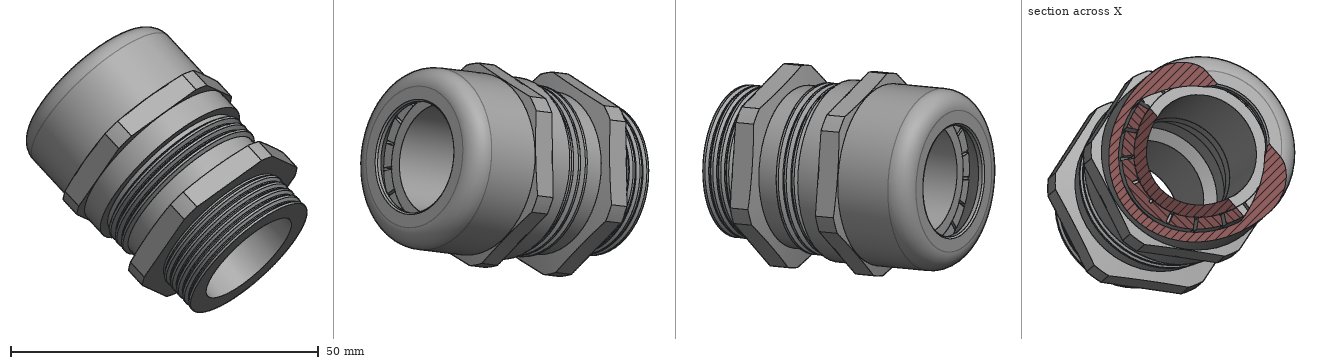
import cadquery as cq
import math

YAW = 22.0
PITCH = 18.0
ROLL = 8.2

NUT_OUTER_R = 14.9
NUT_NOSE_FILLET = 3.3
NUT_END = 20.6
NUT_LIP_END = 1.0
NUT_LIP_CHAMFER = 0.3
NUT_BORE_START = 5.55

BORE_R = 18.25 / 2

HEX_FLATS = 30.0
HEX_CORNER_R = 16.55
HEX_CHAMFER_ANGLE = 10.0
HEX_CORNER_LENGTH = 3.45
NUT_HEX_END = 16.7
HEX_SPACING = 16.4

CLAW_FRONT = 5.1
CLAW_HEAD_R = 12.9
CLAW_HEAD_END = 11.35
CLAW_STEM_R = 22.9 / 2
CLAW_BORE_R = 22.05 / 2
CLAW_END = 24.8
SLOT_COUNT = 18
SLOT_WIDTH = 0.47
SLOT_DEPTH = 4.75

SEAL_END = 19.2
SEAL_RELIEF_START = 17.35
SEAL_RELIEF_R = 18.3 / 2

NECK_R = 26.65 / 2
BODY_LENGTH_END = 40.35
BORE_TAPER_START = 28.05
BORE_TAPER_ANGLE = 30.0

THREAD_PITCH = 1.5
CREST_WIDTH = 0.45
RIDGE_FLANK_RUN = 0.45
CAP_THREAD_CREST_R = 28.05 / 2
CAP_THREAD_LAST_CREST_END = 25.3
CAP_THREAD_RIDGES = 3
MOUNT_THREAD_CREST_R = 12.45
MOUNT_THREAD_ROOT_R = 24.0 / 2
MOUNT_THREAD_RIDGES = 5


def revolve(profile):
    """Revolve a closed (radius, axial) profile about the gland axis."""
    return cq.Workplane("XZ").polyline(profile).close().revolve(360, (0, 0, 0), (0, 1, 0))


def cylinder(radius, start, end):
    return cq.Workplane("XY").workplane(offset=start).circle(radius).extrude(end - start)


def hexagon(end):
    """Wrench hexagon with rounded corners and a conical chamfer on its nose side."""
    slope = math.tan(math.radians(HEX_CHAMFER_ANGLE))
    corner_start = end - HEX_CORNER_LENGTH
    cone_tip = corner_start - HEX_CORNER_R * slope
    prism = (
        cq.Workplane("XY")
        .workplane(offset=cone_tip)
        .polygon(6, HEX_FLATS / math.cos(math.pi / 6))
        .extrude(end - cone_tip)
        .rotate((0, 0, 0), (0, 0, 1), 30)
    )
    envelope = revolve([(0, cone_tip), (HEX_CORNER_R, corner_start), (HEX_CORNER_R, end), (0, end)])
    return prism.intersect(envelope)


def thread_ridges(root_r, crest_r, last_crest_end, count):
    """Ridges side by side along the axis, counted back from the last one."""
    ridges = []
    for i in range(count):
        crest_end = last_crest_end - i * THREAD_PITCH
        crest_start = crest_end - CREST_WIDTH
        ridges.append(
            revolve(
                [
                    (root_r - 0.47, crest_start - RIDGE_FLANK_RUN),
                    (root_r, crest_start - RIDGE_FLANK_RUN),
                    (crest_r, crest_start),
                    (crest_r, crest_end),
                    (root_r, crest_end + RIDGE_FLANK_RUN),
                    (root_r - 0.47, crest_end + RIDGE_FLANK_RUN),
                ]
            )
        )
    return ridges


def make_nut():
    shell = cylinder(NUT_OUTER_R, 0, NUT_END).faces("<Z").edges().fillet(NUT_NOSE_FILLET)
    shell = shell.union(hexagon(NUT_HEX_END))
    inside = revolve(
        [
            (0, 0),
            (BORE_R + NUT_LIP_CHAMFER, 0),
            (BORE_R, NUT_LIP_CHAMFER),
            (BORE_R, NUT_LIP_END),
            (NECK_R, NUT_BORE_START),
            (NECK_R, NUT_END),
            (0, NUT_END),
        ]
    )
    return shell.cut(inside)


def make_claw():
    collar = cylinder(CLAW_HEAD_R, CLAW_FRONT, CLAW_HEAD_END)
    collar = collar.union(cylinder(CLAW_STEM_R, CLAW_HEAD_END, CLAW_END))
    collar = collar.cut(cylinder(CLAW_BORE_R, CLAW_FRONT, CLAW_END))
    slots = (
        cq.Workplane("XY")
        .workplane(offset=CLAW_FRONT)
        .polarArray((CLAW_BORE_R + CLAW_HEAD_R) / 2, 0, 360, SLOT_COUNT)
        .rect(2 * (CLAW_HEAD_R - CLAW_BORE_R), SLOT_WIDTH)
        .extrude(SLOT_DEPTH)
    )
    return collar.cut(slots)


def make_seal():
    sleeve = cylinder(CLAW_BORE_R, CLAW_FRONT, SEAL_END)
    sleeve = sleeve.cut(cylinder(BORE_R, CLAW_FRONT, SEAL_END))
    return sleeve.cut(cylinder(SEAL_RELIEF_R, SEAL_RELIEF_START, SEAL_END))


def make_body():
    hex_end = NUT_HEX_END + HEX_SPACING
    body = cylinder(NECK_R, CLAW_HEAD_END, hex_end).union(hexagon(hex_end))
    body = body.union(cylinder(MOUNT_THREAD_ROOT_R, hex_end, BODY_LENGTH_END))
    for ridge in thread_ridges(
        NECK_R, CAP_THREAD_CREST_R, CAP_THREAD_LAST_CREST_END, CAP_THREAD_RIDGES
    ):
        body = body.union(ridge)
    for ridge in thread_ridges(
        MOUNT_THREAD_ROOT_R, MOUNT_THREAD_CREST_R, BODY_LENGTH_END, MOUNT_THREAD_RIDGES
    ):
        body = body.union(ridge)
    taper_length = (CLAW_BORE_R - BORE_R) * math.tan(math.radians(BORE_TAPER_ANGLE))
    past_end = BODY_LENGTH_END + THREAD_PITCH
    body = body.cut(cylinder(2 * NECK_R, BODY_LENGTH_END, past_end))
    inside = revolve(
        [
            (0, CLAW_HEAD_END),
            (CLAW_STEM_R, CLAW_HEAD_END),
            (CLAW_STEM_R, CLAW_END),
            (CLAW_BORE_R, CLAW_END),
            (CLAW_BORE_R, BORE_TAPER_START),
            (BORE_R, BORE_TAPER_START + taper_length),
            (BORE_R, BODY_LENGTH_END),
            (0, BODY_LENGTH_END),
        ]
    )
    return body.cut(inside)


def place(part):
    """Turn a body from the Z axis to the tilted gland axis."""
    part = part.rotate((0, 0, 0), (0, 0, 1), ROLL)
    part = part.rotate((0, 0, 0), (0, 1, 0), 90 + PITCH)
    return part.rotate((0, 0, 0), (0, 0, 1), YAW)


nut = place(make_nut())
claw = place(make_claw())
seal = place(make_seal())
body = place(make_body())

result = cq.Compound.makeCompound([nut.val(), claw.val(), seal.val(), body.val()])